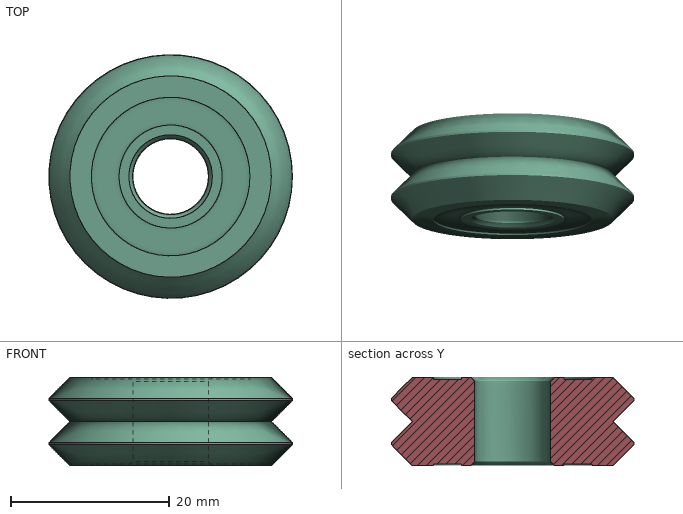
import cadquery as cq

outer_diameter = 30.73
height = 11.13
ridge_count = 2

root_diameter = 25.4
ridge_pitch = height / ridge_count
flank_depth = (outer_diameter - root_diameter) / 2
crest_land = ridge_pitch - 2 * flank_depth

bore_diameter = 9.53
bore_chamfer = 0.5
hub_diameter = 13.0
recess_diameter = 20.0
recess_depth = 0.2

bottom_z = -height / 2
top_z = height / 2


def ridge_points(base_z):
    """Radius and height points of one ridge, from its lower root to its crest."""
    crest_radius = outer_diameter / 2
    root_radius = root_diameter / 2
    land_bottom_z = base_z + flank_depth
    return [
        (root_radius, base_z),
        (crest_radius, land_bottom_z),
        (crest_radius, land_bottom_z + crest_land),
    ]


def make_wheel_body():
    """Solid of revolution with the V-ridges stacked along Z."""
    rim = []
    for index in range(ridge_count):
        rim += ridge_points(bottom_z + index * ridge_pitch)
    profile = [(0, bottom_z)] + rim + [(root_diameter / 2, top_z), (0, top_z)]
    return cq.Workplane("XZ").polyline(profile).close().revolve(360, (0, 0, 0), (0, 1, 0))


def make_recess(floor_z):
    """Annular cutter between the hub and the rim, rising from floor_z."""
    return (
        cq.Workplane("XY", origin=(0, 0, floor_z))
        .circle(recess_diameter / 2)
        .circle(hub_diameter / 2)
        .extrude(recess_depth)
    )


def make_bore():
    """Through-bore cutter that flares into a 45 degree chamfer at both ends."""
    bore_radius = bore_diameter / 2
    mouth_radius = bore_radius + bore_chamfer
    profile = [
        (0, bottom_z),
        (mouth_radius, bottom_z),
        (bore_radius, bottom_z + bore_chamfer),
        (bore_radius, top_z - bore_chamfer),
        (mouth_radius, top_z),
        (0, top_z),
    ]
    return cq.Workplane("XZ").polyline(profile).close().revolve(360, (0, 0, 0), (0, 1, 0))


result = make_wheel_body().cut(make_bore())
for recess_floor_z in (bottom_z, top_z - recess_depth):
    result = result.cut(make_recess(recess_floor_z))